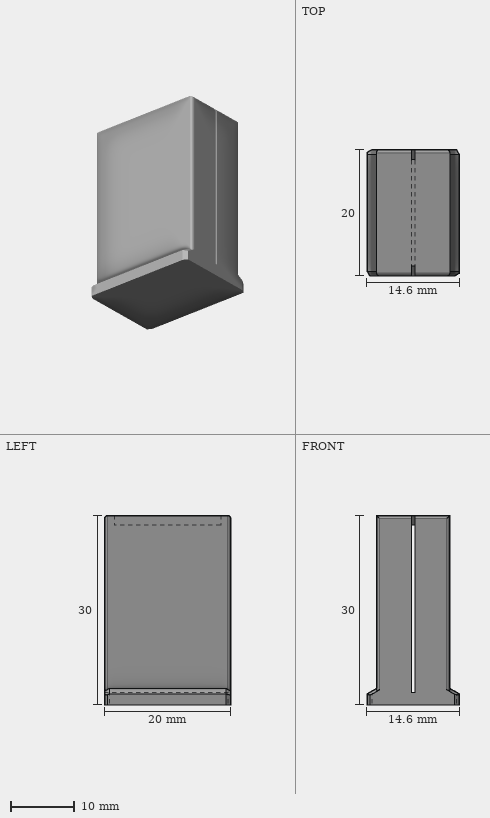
import cadquery as cq
import math

body_width = 11.6
length = 20.0
height = 30.0
edge_radius = 0.5

flange_overhang = 1.5
flange_top = 2.65
flange_slope = math.radians(30)
flange_rim_height = flange_top - flange_overhang * math.tan(flange_slope)
chamfer_long = 0.75
chamfer_angle = math.radians(30)
chamfer_short = chamfer_long * math.tan(chamfer_angle)

slit_width = 0.5
slit_bottom = 2.0
roof = 1.5
notch_depth = 1.6

half_body = body_width / 2
half_length = length / 2
half_foot = half_body + flange_overhang


def make_body():
    """Block with rounded vertical edges and rounded top end edges."""
    block = cq.Workplane("XY").box(body_width, length, height, centered=(True, True, False))
    return block.edges("|Z or (>Z and |X)").fillet(edge_radius)


def foot_plan():
    """Foot outline whose uneven corner chamfers repeat after half a turn about Z."""
    half_outline = [
        (-half_foot, -half_length + chamfer_long),
        (-half_foot + chamfer_short, -half_length),
        (half_foot - chamfer_long, -half_length),
        (half_foot, -half_length + chamfer_short),
    ]
    opposite_half = [(-x, -y) for x, y in half_outline]
    return half_outline + opposite_half


def foot_section():
    """Cross section of the foot; its slopes run on into the rounded body corners."""
    inner_x = half_body - edge_radius
    peak_z = flange_rim_height + (half_foot - inner_x) * math.tan(flange_slope)
    return [
        (-half_foot, 0),
        (half_foot, 0),
        (half_foot, flange_rim_height),
        (inner_x, peak_z),
        (-inner_x, peak_z),
        (-half_foot, flange_rim_height),
    ]


def slope_end_wedge():
    """Cutter for the chamfer at the front end of the -X slope."""
    along_slope = cq.Vector(math.cos(flange_slope), 0, math.sin(flange_slope))
    slope_normal = cq.Vector(-math.sin(flange_slope), 0, math.cos(flange_slope))
    slope_length = (half_foot - half_body + edge_radius) / math.cos(flange_slope)
    overrun = 1.0
    plane = cq.Plane(
        origin=cq.Vector(-half_foot, -half_length, flange_rim_height) - along_slope * overrun,
        xDir=slope_normal,
        normal=along_slope,
    )
    inward = plane.yDir.y
    corner = [(-chamfer_short, 0), (0, 0), (0, inward * chamfer_long)]
    return cq.Workplane(plane).polyline(corner).close().extrude(slope_length + overrun)


def make_foot():
    """Foot with chamfered corners and chamfered slope ends."""
    plan = cq.Workplane("XY").polyline(foot_plan()).close().extrude(height)
    section = cq.Workplane("XZ").polyline(foot_section()).close().extrude(half_length, both=True)
    foot = section.intersect(plan)
    front_left = slope_end_wedge()
    front_right = front_left.mirror("YZ")
    for wedge in (front_left, front_right):
        foot = foot.cut(wedge).cut(wedge.mirror("XZ"))
    return foot


def make_slit():
    """Slit running the full length below the roof."""
    slit_height = height - roof - slit_bottom
    slit = cq.Workplane("XY").box(slit_width, length, slit_height, centered=(True, True, False))
    return slit.translate((0, 0, slit_bottom))


def make_roof_notch(end_side):
    """Notch that carries the slit up through the roof at the given Y end."""
    notch_height = height - slit_bottom
    notch = cq.Workplane("XY").box(slit_width, notch_depth, notch_height, centered=(True, True, False))
    return notch.translate((0, end_side * (half_length - notch_depth / 2), slit_bottom))


result = make_body().union(make_foot()).cut(make_slit())
for end_side in (-1, 1):
    result = result.cut(make_roof_notch(end_side))